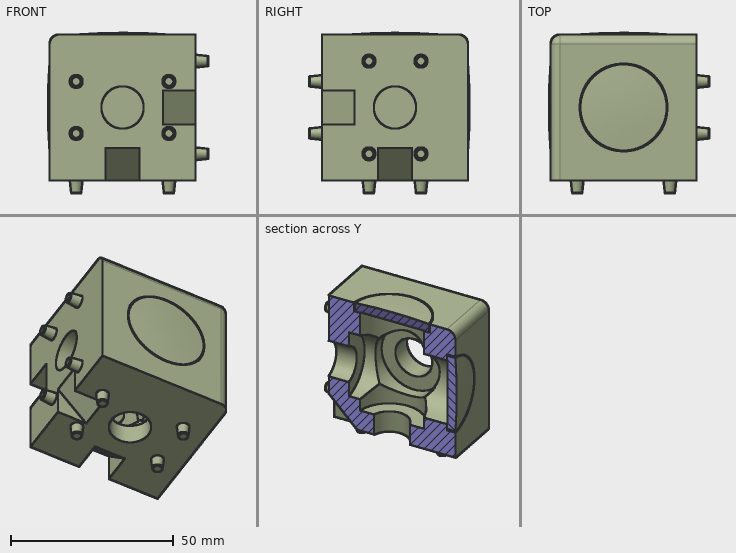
import cadquery as cq

OVERALL_SIZE = 49.45

CUBE = 44.95
HALF = CUBE / 2
EDGE_RADIUS = 3.0

PEG_LENGTH = 4.0
PEG_BASE_DIAMETER = 4.0
PEG_SHANK_END_DIAMETER = 3.2
PEG_TIP_DIAMETER = 2.75
PEG_TIP_LENGTH = 0.4
PEG_WIDE_PITCH = 28.5
PEG_NARROW_PITCH = 16.0

NOTCH_WIDTH = 10.5
NOTCH_LEG = 10.0

BORE_DIAMETER = 13.0
BORE_DEPTH = 7.25
CHAMBER_DIAMETER = 22.75

SEAT_DIAMETER = 27.0
SEAT_DEPTH = 2.95
CAP_CLEARANCE = 0.25
CAP_RADIUS = SEAT_DIAMETER / 2 - CAP_CLEARANCE
DOME_HEIGHT = OVERALL_SIZE - CUBE - PEG_LENGTH
DOME_RADIUS = (CAP_RADIUS**2 + DOME_HEIGHT**2) / (2 * DOME_HEIGHT)

MATING_FACES = [
    cq.Plane(origin=(0, -HALF, 0), xDir=(1, 0, 0), normal=(0, -1, 0)),
    cq.Plane(origin=(0, 0, -HALF), xDir=(1, 0, 0), normal=(0, 0, -1)),
    cq.Plane(origin=(HALF, 0, 0), xDir=(0, 0, 1), normal=(1, 0, 0)),
]
CAP_FACES = [
    cq.Plane(origin=(0, HALF, 0), xDir=(1, 0, 0), normal=(0, 1, 0)),
    cq.Plane(origin=(0, 0, HALF), xDir=(1, 0, 0), normal=(0, 0, 1)),
    cq.Plane(origin=(-HALF, 0, 0), xDir=(0, 0, 1), normal=(-1, 0, 0)),
]

NOTCH_PLANES = [
    cq.Plane(origin=(0, -HALF, -HALF), xDir=(0, -1, 0), normal=(1, 0, 0)),
    cq.Plane(origin=(HALF, -HALF, 0), xDir=(1, 0, 0), normal=(0, 0, -1)),
    cq.Plane(origin=(HALF, 0, -HALF), xDir=(1, 0, 0), normal=(0, 1, 0)),
]


def make_cube():
    """Cube with the three edges between the cap faces rounded."""
    cube = cq.Workplane("XY").box(CUBE, CUBE, CUBE)
    cap_face_edges = "(<X and >Y) or (<X and >Z) or (>Y and >Z)"
    return cube.edges(cap_face_edges).fillet(EDGE_RADIUS)


def make_notch(plane):
    """Triangular prism that removes the middle of a cube edge."""
    return (
        cq.Workplane(plane)
        .polyline([(0, 0), (-NOTCH_LEG, 0), (0, -NOTCH_LEG)])
        .close()
        .extrude(NOTCH_WIDTH / 2, both=True)
    )


def make_stepped_hole(face):
    """Bore that starts at a mating face and widens to a chamber, which runs on through the opposite face."""
    bore = cq.Workplane(face).circle(BORE_DIAMETER / 2).extrude(-BORE_DEPTH)
    chamber = (
        cq.Workplane(face)
        .workplane(offset=-BORE_DEPTH)
        .circle(CHAMBER_DIAMETER / 2)
        .extrude(BORE_DEPTH - CUBE)
    )
    return bore.union(chamber)


def make_seat(face):
    """Shallow round recess, wider than the chamber, that holds a cap."""
    return cq.Workplane(face).circle(SEAT_DIAMETER / 2).extrude(-SEAT_DEPTH)


def make_pegs(face):
    """Four tapered pegs with chamfered tips, standing on a mating face."""
    profile = (
        cq.Workplane("XZ")
        .lineTo(PEG_BASE_DIAMETER / 2, 0)
        .lineTo(PEG_SHANK_END_DIAMETER / 2, PEG_LENGTH - PEG_TIP_LENGTH)
        .lineTo(PEG_TIP_DIAMETER / 2, PEG_LENGTH)
        .lineTo(0, PEG_LENGTH)
        .close()
    )
    peg = profile.revolve(360, (0, 0, 0), (0, 1, 0)).val()
    return (
        cq.Workplane(face)
        .rect(PEG_WIDE_PITCH, PEG_NARROW_PITCH, forConstruction=True)
        .vertices()
        .eachpoint(peg, useLocalCoordinates=True)
    )


def make_housing():
    """Rounded cube with crossing stepped holes, cap seats, notches and pegs."""
    body = make_cube()
    for face in MATING_FACES:
        body = body.cut(make_stepped_hole(face))
    for face in CAP_FACES:
        body = body.cut(make_seat(face))
    for plane in NOTCH_PLANES:
        body = body.cut(make_notch(plane))
    for face in MATING_FACES:
        body = body.union(make_pegs(face))
    return body.solids()


def make_cap(face):
    """Disc on the ledge of a seat, with a shallow dome that rises from the level of the face."""
    profile = (
        cq.Workplane("XZ")
        .moveTo(0, -SEAT_DEPTH)
        .lineTo(CAP_RADIUS, -SEAT_DEPTH)
        .lineTo(CAP_RADIUS, 0)
        .radiusArc((0, DOME_HEIGHT), -DOME_RADIUS)
        .close()
    )
    cap = profile.revolve(360, (0, 0, 0), (0, 1, 0)).val()
    return cap.moved(cq.Location(face))


housing = make_housing()
caps = [make_cap(face) for face in CAP_FACES]

result = cq.Compound.makeCompound([housing.val(), *caps])